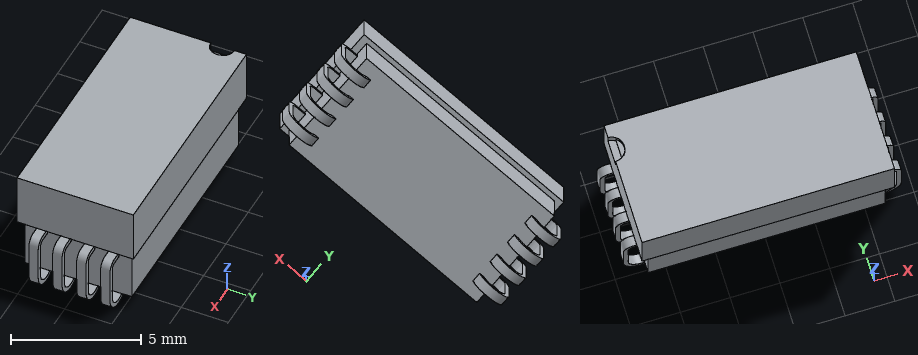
import cadquery as cq
import math

SPAN_X = 11.17

CAP_X = 10.14
CAP_Y = 4.95
CAP_HEIGHT = 2.29
CAP_END_WALL = 0.3
CAP_SIDE_WALL = 0.2
CAP_ROOF = 0.2

BASE_EXPOSED = 2.29
BASE_X = CAP_X - 2 * CAP_END_WALL
BASE_Y = CAP_Y - 2 * CAP_SIDE_WALL
CAP_TOP = BASE_EXPOSED + CAP_HEIGHT

NOTCH_RADIUS = 0.5
NOTCH_DEPTH = 0.4
NOTCH_FROM_SIDE = 1.02
NOTCH_Y = CAP_Y / 2 - NOTCH_FROM_SIDE

BASE_HEIGHT = CAP_TOP - NOTCH_DEPTH

LEADS_PER_ROW = 4
LEAD_PITCH = 1.02
LEAD_WIDTH = 0.4
LEAD_THICKNESS = 0.2
LEAD_BELOW_CAP = 0.2
SHOULDER_RADIUS = 0.4
HOOK_RADIUS = 0.77
HOOK_DROP = 0.5


def make_cap():
    outer = cq.Workplane("XY").box(CAP_X, CAP_Y, CAP_HEIGHT, centered=(True, True, False))
    cavity_height = CAP_HEIGHT - CAP_ROOF
    cavity = cq.Workplane("XY").box(BASE_X, BASE_Y, cavity_height, centered=(True, True, False))
    shell = outer.cut(cavity).translate((0, 0, BASE_EXPOSED))
    notch = (
        cq.Workplane("XY", origin=(-CAP_X / 2, NOTCH_Y, CAP_TOP))
        .circle(NOTCH_RADIUS)
        .extrude(-NOTCH_DEPTH)
    )
    return shell.cut(notch)


def make_base():
    return cq.Workplane("XY").box(BASE_X, BASE_Y, BASE_HEIGHT, centered=(True, True, False))


def make_lead(center_y):
    """One lead of the -X row, from the end face of the base round to its underside."""
    outer_x = -SPAN_X / 2
    inner_x = outer_x + LEAD_THICKNESS
    base_face_x = -BASE_X / 2
    top_z = BASE_EXPOSED - LEAD_BELOW_CAP
    under_z = top_z - LEAD_THICKNESS

    shoulder_x = outer_x + SHOULDER_RADIUS
    shoulder_z = top_z - SHOULDER_RADIUS
    shoulder_inner_radius = SHOULDER_RADIUS - LEAD_THICKNESS
    hook_x = outer_x + HOOK_RADIUS
    hook_z = HOOK_RADIUS - HOOK_DROP
    hook_inner_radius = HOOK_RADIUS - LEAD_THICKNESS

    hook_outer_end_x = hook_x + math.sqrt(HOOK_RADIUS**2 - hook_z**2)
    hook_inner_end_x = hook_x + math.sqrt(hook_inner_radius**2 - hook_z**2)

    diagonal = math.sqrt(0.5)
    shoulder_outer_mid = (shoulder_x - SHOULDER_RADIUS * diagonal, shoulder_z + SHOULDER_RADIUS * diagonal)
    shoulder_inner_mid = (
        shoulder_x - shoulder_inner_radius * diagonal,
        shoulder_z + shoulder_inner_radius * diagonal,
    )

    return (
        cq.Workplane("XZ", origin=(0, center_y, 0))
        .moveTo(base_face_x, top_z)
        .lineTo(shoulder_x, top_z)
        .threePointArc(shoulder_outer_mid, (outer_x, shoulder_z))
        .lineTo(outer_x, hook_z)
        .threePointArc((hook_x, hook_z - HOOK_RADIUS), (hook_outer_end_x, 0))
        .lineTo(hook_inner_end_x, 0)
        .threePointArc((hook_x, hook_z - hook_inner_radius), (inner_x, hook_z))
        .lineTo(inner_x, shoulder_z)
        .threePointArc(shoulder_inner_mid, (shoulder_x, under_z))
        .lineTo(base_face_x, under_z)
        .close()
        .extrude(LEAD_WIDTH / 2, both=True)
    )


cap = make_cap()
base = make_base()

leads = []
for index in range(LEADS_PER_ROW):
    lead_y = (index - (LEADS_PER_ROW - 1) / 2) * LEAD_PITCH
    left_lead = make_lead(lead_y)
    right_lead = left_lead.mirror("YZ")
    leads.extend([left_lead.val(), right_lead.val()])

result = cq.Compound.makeCompound([cap.val(), base.val(), *leads])